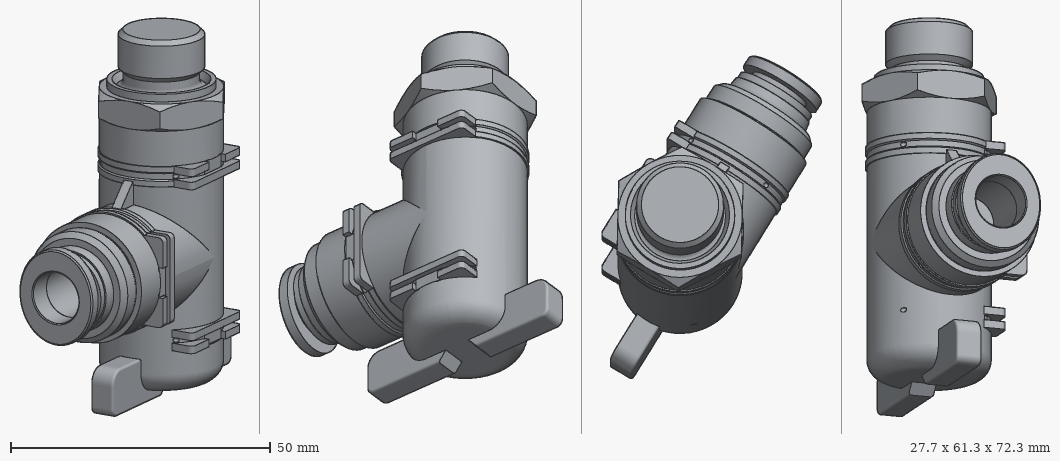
import cadquery as cq
import math


BARREL_R = 12.0
BODY_BOTTOM_Z = -26.0
BODY_BOTTOM_FILLET = 4.0
BRANCH_END = 27.1

HEX_BOTTOM_Z = 27.1
HEX_TOP_Z = 32.6
HEX_ACROSS_CORNERS = 27.7
HEX_CHAMFER_ANGLE = 30
COLLAR_R = 10.55
COLLAR_TOP_Z = 34.1
COLLAR_MOUTH_R = 9.55
COLLAR_FLOOR_R = 8.75
NECK_R = 7.4
NECK_FILLET = COLLAR_FLOOR_R - NECK_R
STUD_R = 8.4
STUD_BOTTOM_CHAMFER = STUD_R - NECK_R
STUD_BOTTOM_Z = 36.65
STUD_TOP_Z = 44.1
STUD_TOP_CHAMFER = 0.95

UPPER_CLIP_Z = 18.0
LOWER_CLIP_Z = -15.0
BRANCH_CLIP = 18.0
RING_R = 12.3
RING_OUTER_OFFSET = 2.0
RING_INNER_OFFSET = 0.9
RING_FLANK = 0.3
FIN_OUTER_OFFSET = 2.1
FIN_GAP = 1.15
FIN_X = 12.6
FIN_HALF_WIDTH = 9.05
FIN_CORNER_R = 1.0
SLOT_FLOOR_X = 11.6
SLOT_HALF_WIDTH = 3.05
PIN_HOLE_R = 0.4
BODY_PIN_HOLE_INNER_X = 7.2
PIN_HOLE_OFFSET = BARREL_R * math.sin(math.radians(45))

GUSSET_THICKNESS = 2.0
GUSSET_REACH = 29.0

HANDLE_HALF_LENGTH = 22.05
HANDLE_THICKNESS = 5.05
HANDLE_TOP_Z = -18.95
HANDLE_BOTTOM_Z = -28.2
HANDLE_TOP_CORNER_R = 3.05
HANDLE_BOTTOM_CORNER_R = 1.5
HANDLE_EDGE_FILLET = 0.5
HANDLE_GAP_TOP = 2.75
HANDLE_GAP_BOTTOM = 4.5

GROOVE_R = 10.85
GROOVE_END = 27.55
CAP_R = 11.05
CAP_END = 31.75
CAP_CHAMFER = 1.1
SLEEVE_R = 8.5
SLEEVE_TAPER_START = 32.5
SLEEVE_END_R = 8.3
HOUSING_END = 34.2

COLLET_RING_R = 8.0
COLLET_RING_END = 35.65
COLLET_NECK_R = 6.0
FLANGE_BACK = 37.0
FLANGE_FRONT = 39.25
FLANGE_HALF_X = 8.25
FLANGE_HALF_Z = 9.55
FLANGE_CHAMFER = 0.3
BORE_R = 5.1
BORE_CHAMFER = 0.2
TUBE_STOP = 21.7


def body_cylinder():
    height = HEX_BOTTOM_Z - BODY_BOTTOM_Z
    cylinder = cq.Workplane("XY", origin=(0, 0, BODY_BOTTOM_Z)).circle(BARREL_R).extrude(height)
    return cylinder.faces("<Z").edges().fillet(BODY_BOTTOM_FILLET)


def hexagon():
    height = HEX_TOP_Z - HEX_BOTTOM_Z
    prism = cq.Workplane("XY", origin=(0, 0, HEX_BOTTOM_Z)).polygon(6, HEX_ACROSS_CORNERS).extrude(height)
    corner_r = HEX_ACROSS_CORNERS / 2
    drop = (corner_r - BARREL_R) * math.tan(math.radians(HEX_CHAMFER_ANGLE))
    envelope = (
        cq.Workplane("XZ")
        .moveTo(0, HEX_BOTTOM_Z)
        .lineTo(BARREL_R, HEX_BOTTOM_Z)
        .lineTo(corner_r, HEX_BOTTOM_Z + drop)
        .lineTo(corner_r, HEX_TOP_Z - drop)
        .lineTo(BARREL_R, HEX_TOP_Z)
        .lineTo(0, HEX_TOP_Z)
        .close()
        .revolve(360, (0, 0, 0), (0, 1, 0))
    )
    return prism.intersect(envelope)


def stud():
    """Dished collar, undercut neck and stud, revolved in one piece from the hexagon up."""
    bend = NECK_FILLET * (1 - math.cos(math.radians(45)))
    return (
        cq.Workplane("XZ")
        .moveTo(0, HEX_BOTTOM_Z)
        .lineTo(COLLAR_R, HEX_BOTTOM_Z)
        .lineTo(COLLAR_R, COLLAR_TOP_Z)
        .lineTo(COLLAR_MOUTH_R, COLLAR_TOP_Z)
        .lineTo(COLLAR_FLOOR_R, HEX_TOP_Z)
        .threePointArc((NECK_R + bend, HEX_TOP_Z + bend), (NECK_R, HEX_TOP_Z + NECK_FILLET))
        .lineTo(NECK_R, STUD_BOTTOM_Z - STUD_BOTTOM_CHAMFER)
        .lineTo(STUD_R, STUD_BOTTOM_Z)
        .lineTo(STUD_R, STUD_TOP_Z - STUD_TOP_CHAMFER)
        .lineTo(STUD_R - STUD_TOP_CHAMFER, STUD_TOP_Z)
        .lineTo(0, STUD_TOP_Z)
        .close()
        .revolve(360, (0, 0, 0), (0, 1, 0))
    )


def along_branch(shape):
    """Turn a shape built along +Z so that it lies along the branch, toward -Y."""
    return shape.rotate((0, 0, 0), (1, 0, 0), 90)


def branch():
    profile = (
        cq.Workplane("XZ")
        .lineTo(BARREL_R, 0)
        .lineTo(BARREL_R, BRANCH_END)
        .lineTo(GROOVE_R, BRANCH_END)
        .lineTo(GROOVE_R, GROOVE_END)
        .lineTo(CAP_R, GROOVE_END)
        .lineTo(CAP_R, CAP_END - CAP_CHAMFER)
        .lineTo(CAP_R - CAP_CHAMFER, CAP_END)
        .lineTo(SLEEVE_R, CAP_END)
        .lineTo(SLEEVE_R, SLEEVE_TAPER_START)
        .lineTo(SLEEVE_END_R, HOUSING_END)
        .lineTo(0, HOUSING_END)
        .close()
    )
    return along_branch(profile.revolve(360, (0, 0, 0), (0, 1, 0)))


def ring_pair(station):
    """Two rings around Z with upright outer sides and sloping inner sides."""
    rings = cq.Workplane("XY")
    for side in (-1, 1):
        ring = (
            cq.Workplane("XZ")
            .moveTo(0, station + side * RING_OUTER_OFFSET)
            .lineTo(RING_R, station + side * RING_OUTER_OFFSET)
            .lineTo(RING_R, station + side * RING_INNER_OFFSET)
            .lineTo(BARREL_R, station + side * (RING_INNER_OFFSET - RING_FLANK))
            .lineTo(0, station + side * (RING_INNER_OFFSET - RING_FLANK))
            .close()
            .revolve(360, (0, 0, 0), (0, 1, 0))
        )
        rings = rings.add(ring)
    return rings.combine()


def fin_pair(station):
    """Two flat fins that stand out on the +X side of a barrel along Z."""
    block = (
        cq.Workplane("XY", origin=(0, 0, station - FIN_OUTER_OFFSET))
        .center(FIN_X / 2, 0)
        .rect(FIN_X, 2 * FIN_HALF_WIDTH)
        .extrude(2 * FIN_OUTER_OFFSET)
        .edges("|Z and >X")
        .fillet(FIN_CORNER_R)
    )
    gap = cq.Workplane("XY", origin=(FIN_X / 2, 0, station)).box(FIN_X, 2 * FIN_HALF_WIDTH, FIN_GAP)
    return block.cut(gap)


def clip_slot(station):
    """Slot in the +X side, through the gap and the fin farther from the origin."""
    outward = math.copysign(1, station)
    slot_length = FIN_GAP / 2 + FIN_OUTER_OFFSET
    slot_middle = station + outward * (FIN_OUTER_OFFSET - FIN_GAP / 2) / 2
    slot_depth = FIN_X - SLOT_FLOOR_X
    return cq.Workplane("XY", origin=(SLOT_FLOOR_X + slot_depth / 2, 0, slot_middle)).box(
        slot_depth, 2 * SLOT_HALF_WIDTH, slot_length
    )


def pin_holes(station, inner_x):
    """Holes along X from both sides of a barrel that stop at inner_x from its axis."""
    holes = cq.Workplane("XY")
    for side in (-1, 1):
        holes = holes.add(
            cq.Workplane("YZ", origin=(side * inner_x, 0, station))
            .pushPoints([(-PIN_HOLE_OFFSET, 0), (PIN_HOLE_OFFSET, 0)])
            .circle(PIN_HOLE_R)
            .extrude(side * (FIN_X - inner_x))
        )
    return holes.combine()


def gusset():
    return (
        cq.Workplane("YZ")
        .lineTo(-GUSSET_REACH + BARREL_R, 0)
        .lineTo(-GUSSET_REACH + RING_R, RING_R)
        .lineTo(-BARREL_R, GUSSET_REACH - BARREL_R)
        .lineTo(0, GUSSET_REACH - BARREL_R)
        .close()
        .extrude(GUSSET_THICKNESS / 2, both=True)
    )


def handle():
    height = HANDLE_TOP_Z - HANDLE_BOTTOM_Z
    bar = (
        cq.Workplane("XY", origin=(0, 0, HANDLE_BOTTOM_Z + height / 2))
        .box(HANDLE_THICKNESS, 2 * HANDLE_HALF_LENGTH, height)
        .edges("|X and >Z")
        .fillet(HANDLE_TOP_CORNER_R)
        .edges("|X and <Z")
        .fillet(HANDLE_BOTTOM_CORNER_R)
        .faces("<X or >X")
        .edges()
        .fillet(HANDLE_EDGE_FILLET)
    )
    gap = (
        cq.Workplane("YZ")
        .moveTo(-HANDLE_GAP_BOTTOM, HANDLE_BOTTOM_Z)
        .lineTo(-HANDLE_GAP_TOP, BODY_BOTTOM_Z)
        .lineTo(HANDLE_GAP_TOP, BODY_BOTTOM_Z)
        .lineTo(HANDLE_GAP_BOTTOM, HANDLE_BOTTOM_Z)
        .close()
        .extrude(HANDLE_THICKNESS, both=True)
    )
    return bar.cut(gap)


def build_housing():
    housing = body_cylinder().union(branch()).union(hexagon()).union(stud())
    housing = housing.union(ring_pair(UPPER_CLIP_Z)).union(along_branch(ring_pair(BRANCH_CLIP)))
    for station in (UPPER_CLIP_Z, LOWER_CLIP_Z):
        housing = housing.union(fin_pair(station)).cut(clip_slot(station))
        housing = housing.cut(pin_holes(station, BODY_PIN_HOLE_INNER_X))
    housing = housing.union(along_branch(fin_pair(BRANCH_CLIP))).cut(along_branch(clip_slot(BRANCH_CLIP)))
    housing = housing.cut(along_branch(pin_holes(BRANCH_CLIP, 0)))
    bore = cq.Workplane("XY", origin=(0, 0, TUBE_STOP)).circle(BORE_R).extrude(HOUSING_END - TUBE_STOP)
    housing = housing.union(handle()).cut(along_branch(bore))
    return housing.union(gusset(), clean=False)


def build_collet():
    ring_length = COLLET_RING_END - HOUSING_END
    neck_length = FLANGE_BACK - HOUSING_END
    flange_length = FLANGE_FRONT - FLANGE_BACK
    ring = cq.Workplane("XY", origin=(0, 0, HOUSING_END)).circle(COLLET_RING_R).extrude(ring_length)
    neck = cq.Workplane("XY", origin=(0, 0, HOUSING_END)).circle(COLLET_NECK_R).extrude(neck_length)
    flange = (
        cq.Workplane("XY", origin=(0, 0, FLANGE_BACK))
        .ellipse(FLANGE_HALF_X, FLANGE_HALF_Z)
        .extrude(flange_length)
        .faces(">Z")
        .edges()
        .chamfer(FLANGE_CHAMFER)
    )
    collet = (
        ring.union(neck)
        .union(flange)
        .faces(">Z")
        .workplane(origin=(0, 0, FLANGE_FRONT))
        .cskHole(2 * BORE_R, 2 * (BORE_R + BORE_CHAMFER), 90)
    )
    return along_branch(collet)


housing = build_housing()
collet = build_collet()
result = cq.Compound.makeCompound([*housing.solids().vals(), *collet.solids().vals()])